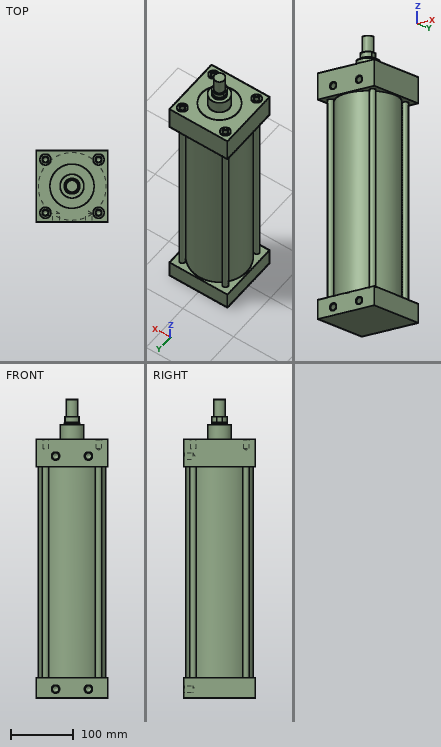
import cadquery as cq
import math

SIDE = 114.5
TOTAL_LENGTH = 476.2

CAP_HEIGHT = 32.5
HEAD_BOTTOM = 368.5
HEAD_HEIGHT = 44.5
HEAD_TOP = HEAD_BOTTOM + HEAD_HEIGHT
BOSS_HEIGHT = 23.0
BOSS_TOP = HEAD_TOP + BOSS_HEIGHT

TUBE_DIA = 108.0
TIE_ROD_DIA = 10.5
TIE_ROD_OFFSET = 42.5

BOSS_DIA = 38.0
GLAND_DIA = 70.5
GLAND_RECESS = 0.5

NUT_DIA = 17.5
NUT_RECESS = 0.5
BOLT_HOLE_DIA = 8.5
BOLT_HOLE_DEPTH = 14.5
BOLT_CHAMFER = 1.0

PORT_OFFSET = 26.0
HEAD_PORT_HEIGHT = HEAD_TOP - 27.0
CAP_PORT_HEIGHT = 14.5
PORT_DIA = 11.0
PORT_DEPTH = 14.5
PORT_CHAMFER = 1.0

DRILL_POINT_ANGLE = 118.0

ROD_DIA = 25.0
NECK_DIA = 23.0
FLATS_WIDTH = 23.0
THREAD_DIA = 19.0
COLLAR_HEIGHT = 1.5
FLATS_BOTTOM = BOSS_TOP + 4.0
FLATS_TOP = 448.5


def square_block(bottom, height):
    return cq.Workplane("XY").workplane(offset=bottom).rect(SIDE, SIDE).extrude(height)


def cylinder(diameter, bottom, top, places=((0, 0),)):
    return (
        cq.Workplane("XY").workplane(offset=bottom)
        .pushPoints(places).circle(diameter / 2).extrude(top - bottom)
    )


def drilled_hole(diameter, depth, chamfer):
    """Chamfered blind hole with a drill point, entering the z = 0 plane downwards."""
    radius = diameter / 2
    point_length = radius / math.tan(math.radians(DRILL_POINT_ANGLE / 2))
    return (
        cq.Workplane("XZ")
        .moveTo(0, 0)
        .lineTo(radius + chamfer, 0)
        .lineTo(radius, -chamfer)
        .lineTo(radius, -depth)
        .lineTo(0, -depth - point_length)
        .close()
        .revolve(360, (0, 0, 0), (0, 1, 0))
    )


def make_housing():
    corners = [
        (x, y)
        for x in (-TIE_ROD_OFFSET, TIE_ROD_OFFSET)
        for y in (-TIE_ROD_OFFSET, TIE_ROD_OFFSET)
    ]

    body = square_block(0, CAP_HEIGHT)
    body = body.union(square_block(HEAD_BOTTOM, HEAD_HEIGHT))
    body = body.union(cylinder(TUBE_DIA, CAP_HEIGHT, HEAD_BOTTOM))
    body = body.union(cylinder(TIE_ROD_DIA, CAP_HEIGHT, HEAD_BOTTOM, corners))

    gland_floor = HEAD_TOP - GLAND_RECESS
    body = body.cut(cylinder(GLAND_DIA, gland_floor, HEAD_TOP))
    body = body.union(cylinder(BOSS_DIA, gland_floor, BOSS_TOP))

    nut_floor = HEAD_TOP - NUT_RECESS
    body = body.cut(cylinder(NUT_DIA, nut_floor, HEAD_TOP, corners))
    bolt_hole = drilled_hole(BOLT_HOLE_DIA, BOLT_HOLE_DEPTH, BOLT_CHAMFER)
    for x, y in corners:
        body = body.cut(bolt_hole.translate((x, y, nut_floor)))

    port = drilled_hole(PORT_DIA, PORT_DEPTH, PORT_CHAMFER).rotate((0, 0, 0), (1, 0, 0), 90)
    for height in (CAP_PORT_HEIGHT, HEAD_PORT_HEIGHT):
        for x in (-PORT_OFFSET, PORT_OFFSET):
            body = body.cut(port.translate((x, -SIDE / 2, height)))
    return body


def make_piston_rod():
    collar_top = BOSS_TOP + COLLAR_HEIGHT
    rod = (
        cq.Workplane("XZ")
        .moveTo(0, BOSS_TOP)
        .lineTo(ROD_DIA / 2, BOSS_TOP)
        .lineTo(ROD_DIA / 2, collar_top)
        .lineTo(NECK_DIA / 2, FLATS_BOTTOM)
        .lineTo(ROD_DIA / 2, FLATS_BOTTOM)
        .lineTo(ROD_DIA / 2, FLATS_TOP)
        .lineTo(THREAD_DIA / 2, FLATS_TOP)
        .lineTo(THREAD_DIA / 2, TOTAL_LENGTH)
        .lineTo(0, TOTAL_LENGTH)
        .close()
        .revolve(360, (0, 0, 0), (0, 1, 0))
    )

    flats_height = FLATS_TOP - FLATS_BOTTOM
    waste = (
        cq.Workplane("XY").workplane(offset=FLATS_BOTTOM)
        .rect(3 * ROD_DIA, 3 * ROD_DIA).rect(FLATS_WIDTH, 2 * ROD_DIA)
        .extrude(flats_height)
    )
    return rod.cut(waste)


housing = make_housing()
piston_rod = make_piston_rod()

result = cq.Compound.makeCompound([housing.val(), piston_rod.val()])